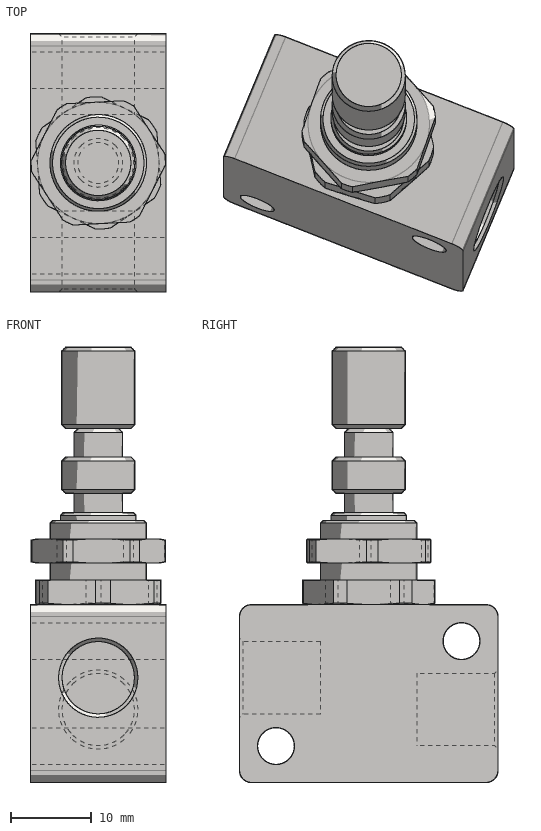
import cadquery as cq
import math

BODY_X = 16.8
BODY_Y = 32.0
BODY_Z = 22.0
BODY_EDGE_RADIUS = 1.5

MOUNT_HOLE_RADIUS = 2.25
MOUNT_HOLE_INSET = 4.5

PORT_RADIUS = 4.45
PORT_CHAMFER = 0.45
PORT_Z = 12.95
PORT_DEPTH = 10.0

NUT_FLATS = 15.0
NUT_HEIGHT = 3.0
NUT_CHAMFER = 0.15
LOWER_NUT_Z = BODY_Z
LOWER_NUT_CORNER_RADIUS = 8.2
LOWER_NUT_TURN = 34.2
UPPER_NUT_Z = 27.15
UPPER_NUT_CORNER_RADIUS = 8.3
UPPER_NUT_TURN = 3.0

TOTAL_Z = 53.85
SLEEVE_RADIUS = 6.0
SLEEVE_TOP = 32.4
CAP_RADIUS = 4.7
CAP_TOP = 33.4
SLEEVE_CHAMFER = 0.3
STEM_RADIUS = 3.0
COLLAR_TOP = 40.25
COLLAR_HEIGHT = 4.5
KNOB_RADIUS = 4.5
KNOB_HEIGHT = 10.05
STEM_CHAMFER = 0.5


def cylinder(radius, bottom, top):
    """Upright cylinder on the Z axis."""
    return cq.Workplane("XY").workplane(offset=bottom).circle(radius).extrude(top - bottom)


def port_cutter():
    """Blind round port entering the -Y face, with a chamfered mouth."""
    mouth = PORT_RADIUS + PORT_CHAMFER
    profile = [
        (0, 0),
        (mouth, 0),
        (PORT_RADIUS, PORT_CHAMFER),
        (PORT_RADIUS, PORT_DEPTH),
        (0, PORT_DEPTH),
    ]
    cutter = cq.Workplane("XY").polyline(profile).close().revolve(360, (0, 0), (0, 1))
    return cutter.translate((0, -BODY_Y / 2, PORT_Z))


def valve_body():
    """Rounded block with diagonal mounting holes and two ports."""
    body = cq.Workplane("XY").box(BODY_X, BODY_Y, BODY_Z, centered=(True, True, False))
    body = body.edges("|X").fillet(BODY_EDGE_RADIUS)

    hole_y = BODY_Y / 2 - MOUNT_HOLE_INSET
    hole_places = [(-hole_y, MOUNT_HOLE_INSET), (hole_y, BODY_Z - MOUNT_HOLE_INSET)]
    holes = (
        cq.Workplane("YZ")
        .pushPoints(hole_places)
        .circle(MOUNT_HOLE_RADIUS)
        .extrude(BODY_X, both=True)
    )
    body = body.cut(holes)

    port = port_cutter()
    half_turn_axis = ((0, 0, BODY_Z / 2), (1, 0, BODY_Z / 2))
    return body.cut(port).cut(port.rotate(*half_turn_axis, 180))


def hex_nut(bottom, corner_radius, turn, chamfered_ends):
    """Hexagon nut with a corner at angle turn and its corners chamfered at the given ends."""
    across_corners = NUT_FLATS / math.cos(math.pi / 6)
    hexagon = (
        cq.Workplane("XY")
        .workplane(offset=bottom)
        .polygon(6, across_corners)
        .extrude(NUT_HEIGHT)
        .rotate((0, 0, 0), (0, 0, 1), turn)
    )
    chamfer_width = corner_radius - NUT_FLATS / 2
    blank = cylinder(corner_radius, bottom, bottom + NUT_HEIGHT)
    for end in chamfered_ends:
        blank = blank.faces(end).chamfer(NUT_CHAMFER, chamfer_width)
    return hexagon.intersect(blank)


def turned_parts():
    """Sleeve and cap, stem, locking collar and knob."""
    collar_bottom = COLLAR_TOP - COLLAR_HEIGHT
    knob_bottom = TOTAL_Z - KNOB_HEIGHT
    sleeve = cylinder(SLEEVE_RADIUS, BODY_Z, SLEEVE_TOP).faces(">Z").chamfer(SLEEVE_CHAMFER)
    cap = cylinder(CAP_RADIUS, SLEEVE_TOP, CAP_TOP).faces(">Z").chamfer(SLEEVE_CHAMFER)
    stem = cylinder(STEM_RADIUS, CAP_TOP, knob_bottom).faces(">Z").chamfer(STEM_CHAMFER)
    collar = cylinder(KNOB_RADIUS, collar_bottom, COLLAR_TOP).edges("%CIRCLE").chamfer(STEM_CHAMFER)
    knob = cylinder(KNOB_RADIUS, knob_bottom, TOTAL_Z).edges("%CIRCLE").chamfer(STEM_CHAMFER)
    return sleeve.union(cap).union(stem).union(collar).union(knob)


lower_nut = hex_nut(LOWER_NUT_Z, LOWER_NUT_CORNER_RADIUS, LOWER_NUT_TURN, ["<Z"])
upper_nut = hex_nut(UPPER_NUT_Z, UPPER_NUT_CORNER_RADIUS, UPPER_NUT_TURN, ["<Z", ">Z"])

result = valve_body().union(turned_parts()).union(lower_nut).union(upper_nut)